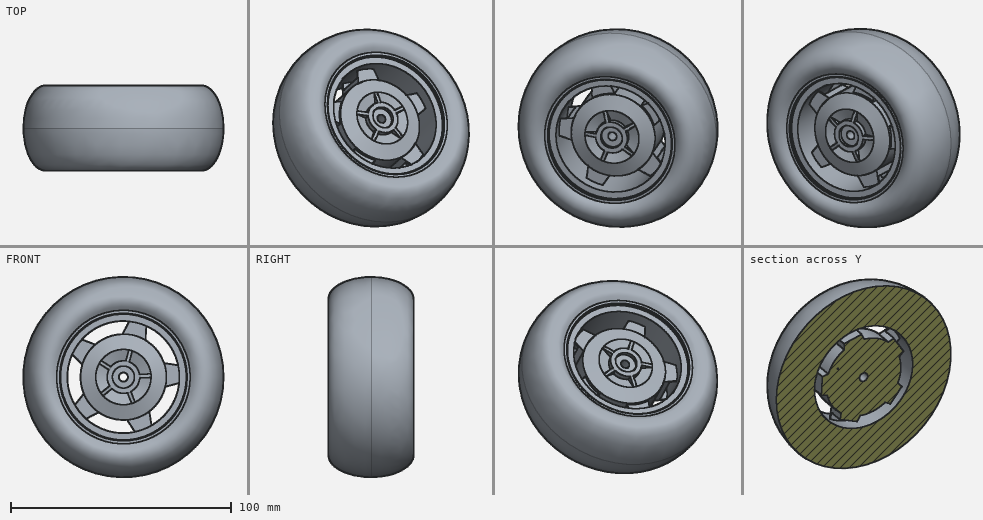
import cadquery as cq
import math


outer_diameter = 90.9
tyre_width = 38.8
tyre_crown = 10.3
bead_diameter = 60.5

lip_inner_diameter = 57.8
ledge_inner_diameter = 57.0
rim_bore_diameter = 50.7
rim_face = 15.6
ledge_face = 16.45

disc_diameter = 39.0
disc_edge = 10.3
dish_diameter = 25.1
dish_edge = 12.7
dish_root = 10.7
boss_diameter = 14.7
boss_face = 13.6
counterbore_diameter = 10.0
counterbore_depth = 1.8
bore_diameter = 4.0

spoke_count = 5
spoke_angle = 3.0
spoke_width_at_disc = 10.5
spoke_width_at_rim = 8.0
spoke_face = 8.7
spoke_thickness = 0.8
spoke_root_reach = 21.8
rib_width = 1.6
joint_overlap = 0.45

crown_radius = outer_diameter / 2 - tyre_crown
half_width = tyre_width / 2
dish_radius = dish_diameter / 2
bead_angle = 180 + math.degrees(math.acos((crown_radius - bead_diameter / 2) / tyre_crown))
bead_face = -half_width * math.sin(math.radians(bead_angle))


def revolve_about_axle(profile):
    return profile.close().revolve(360, (0, 0, 0), (0, 1, 0))


def axle_cylinder(diameter, half_length):
    """Cylinder on the axle, centred on the mid-plane."""
    return cq.Workplane("XZ").circle(diameter / 2).extrude(half_length, both=True)


def make_tyre_and_rim():
    bead_radius = bead_diameter / 2
    lip_radius = lip_inner_diameter / 2
    ledge_radius = ledge_inner_diameter / 2
    bore_radius = rim_bore_diameter / 2
    profile = (
        cq.Workplane("XY")
        .moveTo(bead_radius, -bead_face)
        .ellipseArc(tyre_crown, half_width, bead_angle, 360)
        .ellipseArc(tyre_crown, half_width, 0, 360 - bead_angle)
        .lineTo(lip_radius, bead_face)
        .lineTo(lip_radius, ledge_face)
        .lineTo(ledge_radius, ledge_face)
        .lineTo(ledge_radius, rim_face)
        .lineTo(bore_radius, rim_face)
        .lineTo(bore_radius, -rim_face)
        .lineTo(ledge_radius, -rim_face)
        .lineTo(ledge_radius, -ledge_face)
        .lineTo(lip_radius, -ledge_face)
        .lineTo(lip_radius, -bead_face)
    )
    return revolve_about_axle(profile)


def make_dished_disc():
    profile = (
        cq.Workplane("XY")
        .moveTo(0, -dish_root)
        .lineTo(boss_diameter / 2, -dish_root)
        .lineTo(dish_radius, -dish_edge)
        .lineTo(disc_diameter / 2, -disc_edge)
        .lineTo(disc_diameter / 2, disc_edge)
        .lineTo(dish_radius, dish_edge)
        .lineTo(boss_diameter / 2, dish_root)
        .lineTo(0, dish_root)
    )
    return revolve_about_axle(profile)


def make_spoke(angle):
    """Pair of tapered plates from disc to rim, with a solid root between them at the disc."""
    at_disc = disc_diameter / 2
    at_rim = rim_bore_diameter / 2
    taper = (spoke_width_at_rim - spoke_width_at_disc) / (at_rim - at_disc)

    def tapered_block(inner, outer, half_depth):
        inner_half = (spoke_width_at_disc + taper * (inner - at_disc)) / 2
        outer_half = (spoke_width_at_disc + taper * (outer - at_disc)) / 2
        corners = [(inner, -inner_half), (outer, -outer_half), (outer, outer_half), (inner, inner_half)]
        return cq.Workplane("XZ").polyline(corners).close().extrude(half_depth, both=True)

    gap = tapered_block(spoke_root_reach, at_rim + 2 * joint_overlap, spoke_face - spoke_thickness)
    spoke = tapered_block(dish_radius, at_rim + joint_overlap, spoke_face).cut(gap)
    return spoke.rotate((0, 0, 0), (0, 1, 0), -angle)


def make_rib(angle):
    """Rib across both dishes, its top running from the dish's edge to the boss face."""
    boss_radius = boss_diameter / 2
    rib = (
        cq.Workplane("XY")
        .polyline([
            (0, -boss_face),
            (boss_radius, -boss_face),
            (dish_radius, -dish_edge),
            (dish_radius, dish_edge),
            (boss_radius, boss_face),
            (0, boss_face),
        ])
        .close()
        .extrude(rib_width / 2, both=True)
    )
    return rib.rotate((0, 0, 0), (0, 1, 0), -angle)


wheel = make_tyre_and_rim().union(make_dished_disc())
for index in range(spoke_count):
    angle = spoke_angle + index * 360 / spoke_count
    wheel = wheel.union(make_spoke(angle)).union(make_rib(angle))
wheel = wheel.union(axle_cylinder(boss_diameter, boss_face))
for side in (-1, 1):
    counterbore = axle_cylinder(counterbore_diameter, counterbore_depth)
    wheel = wheel.cut(counterbore.translate((0, side * boss_face, 0)))
result = wheel.cut(axle_cylinder(bore_diameter, half_width))